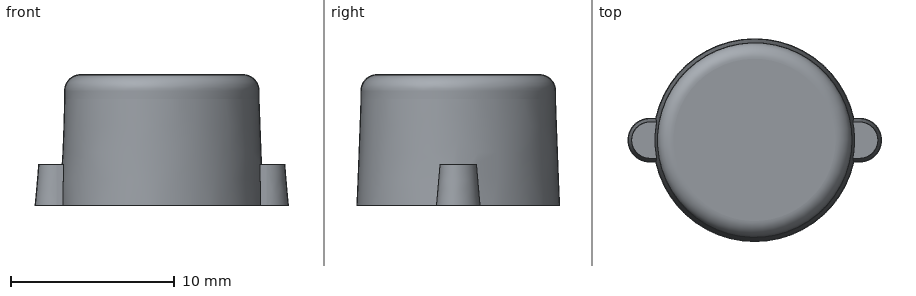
import cadquery as cq

overall_length = 15.48
height = 8.0

base_radius = 6.19
band_radius = 5.95
band_start = 6.49
top_edge_radius = 0.99

ear_width = 2.66
ear_height = 2.52
ear_draft = 5.0


def make_cap():
    """Revolve the half profile of the cap about Z."""
    profile = (
        cq.Workplane("XZ")
        .lineTo(base_radius, 0)
        .lineTo(band_radius, band_start)
        .lineTo(band_radius, height)
        .lineTo(0, height)
        .close()
    )
    cap = profile.revolve(360, (0, 0, 0), (0, 1, 0))
    return cap.faces(">Z").edges().fillet(top_edge_radius)


def make_ears():
    """Drafted bar through the cap; only its ends stand out as ears."""
    return (
        cq.Workplane("XY")
        .slot2D(overall_length, ear_width)
        .extrude(ear_height, taper=ear_draft)
    )


result = make_cap().union(make_ears())